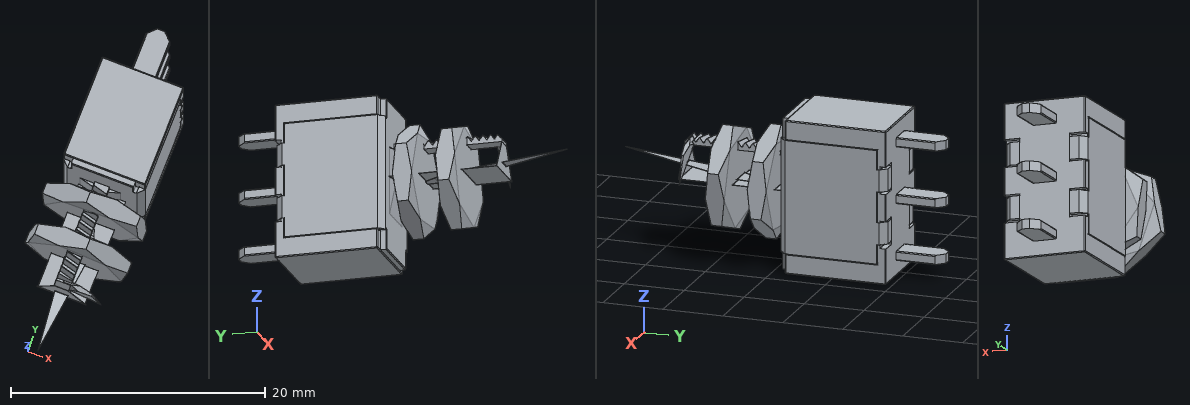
import cadquery as cq
import math


overall_length = 26.85

housing_width = 6.9
housing_height = 12.7
housing_rear = 8.95
edge_break = 0.08
side = housing_width / 2

sheet = 0.5
wing_height = 9.4
wing_rear = 8.17
plate_width = 5.26
plate_height = housing_height - 2 * edge_break
seam = 0.08
relief_radius = 0.13
relief_offset = 2.77
tab_low = 1.25
tab_high = 3.12
tab_reach = 1.35
tab_bend = 0.56
tab_clearance_inner = 0.13
tab_clearance_outer = 0.27

bushing_length = 8.86
leaf = 0.03
floor_width = 3.98
end_plate_width = 4.14
bar_width = 1.24
bar_bottom = 2.47
bar_top = 3.15
thread_depth = 0.4
thread_crest = 0.05
thread_slant = 14.5
first_groove = 0.75
last_slanted_groove = 7.75
groove_count = 12
thread_pitch = (last_slanted_groove - first_groove) / (groove_count - 1)
straight_groove = 8.22
bar_end_chamfer = 0.43

run_in_depth = 0.45
run_in_left = -1.88
run_in_right = 1.55
run_in_tip = -3.05
run_out_middle = 8.4
run_out_half = 0.4
run_out_waist = 0.2
run_out_crest = 3.04
run_out_tip_x = 3.17
run_out_tip_z = -0.1
run_out_shoulder_x = 2.42
run_out_shoulder_z = 2.12

lever_root = 2.47
lever_tip = 14.0
lever_wide = 4.65
lever_root_width = 0.7
lever_width = 2.05
lever_tip_height = 1.53
lever_root_height = -0.13

nut_radius = 4.62
nut_bevel_depth = 0.35
nut_thickness = 1.58
nut_faces = (0.85, 4.38)
nut_angles = (36.5, 19.8)
half_side_angle = 30
apothem_ratio = math.cos(math.radians(half_side_angle))

terminal_width = 2.05
terminal_thickness = 0.78
terminal_pitch = 4.7
terminal_tip = overall_length - lever_tip
terminal_tip_chamfer = 0.7


def block(x_low, x_high, y_low, y_high, z_low, z_high):
    """A box given by its limits along each axis."""
    size = (x_high - x_low, y_high - y_low, z_high - z_low)
    return cq.Workplane("XY").box(*size, centered=False).translate((x_low, y_low, z_low))


def mirrored(shape, plane):
    """A shape together with its mirror image."""
    return shape.union(shape.mirror(plane))


def make_tab_recesses():
    """Pockets at the rear corners of the housing that take the folded frame tabs."""
    recess = block(
        side - tab_reach, side, housing_rear - sheet, housing_rear,
        tab_low - tab_clearance_inner, tab_high + tab_clearance_outer,
    )
    passage = block(side - sheet, side, wing_rear, housing_rear, tab_low, tab_high)
    return mirrored(mirrored(recess.union(passage), "XY"), "YZ")


def make_housing():
    """Block with a side pocket for each frame wing and recesses for the tabs."""
    body = block(-side, side, sheet, housing_rear, -housing_height / 2, housing_height / 2)
    body = body.edges().chamfer(edge_break)
    pocket_half = wing_height / 2 + seam
    pocket = block(side - sheet, side, 0, wing_rear + seam, -pocket_half, pocket_half)
    return body.cut(mirrored(pocket, "YZ")).cut(make_tab_recesses())


def make_frame():
    """Front plate with bent side wings, whose rear tabs fold over the housing."""
    wing_half = wing_height / 2
    shell = block(-side, side, 0, wing_rear, -wing_half, wing_half)
    shell = shell.faces("<Y").edges("|Z").chamfer(sheet)
    shell = shell.cut(block(sheet - side, side - sheet, sheet, wing_rear, -wing_half, wing_half))
    plate = block(-plate_width / 2, plate_width / 2, 0, sheet, -plate_height / 2, plate_height / 2)
    plate = plate.faces("<Y").edges().chamfer(edge_break)
    relief_points = [(x, z) for x in (-relief_offset, relief_offset) for z in (-wing_half, wing_half)]
    reliefs = cq.Workplane("XZ").pushPoints(relief_points).circle(relief_radius).extrude(-sheet)

    tab = (
        cq.Workplane("XY", origin=(0, 0, tab_low))
        .moveTo(side - sheet, wing_rear)
        .lineTo(side, wing_rear)
        .lineTo(side, housing_rear - tab_bend)
        .lineTo(side - sheet, housing_rear)
        .lineTo(side - tab_reach, housing_rear)
        .lineTo(side - tab_reach, housing_rear - sheet)
        .lineTo(side - sheet, housing_rear - sheet)
        .close()
        .extrude(tab_high - tab_low)
    )
    tabs = mirrored(mirrored(tab, "XY"), "YZ")
    return shell.union(plate).cut(reliefs).union(tabs)


def make_threaded_bar():
    """Key bar with slanted V grooves across its top and a straight one at the end."""
    bar = block(-bar_width / 2, bar_width / 2, -bushing_length, 0, bar_bottom, bar_top)
    bar = bar.faces("<Y").edges(">Z").chamfer(bar_end_chamfer)
    half = (thread_pitch - thread_crest) / 2
    groove = (
        cq.Workplane("YZ")
        .polyline([(-half, bar_top), (half, bar_top), (0, bar_top - thread_depth)])
        .close()
        .extrude(bar_width, both=True)
    )
    slanted_groove = groove.rotate((0, 0, 0), (0, 0, 1), -thread_slant)
    for index in range(groove_count):
        bar = bar.cut(slanted_groove.translate((0, -first_groove - index * thread_pitch, 0)))
    return bar.cut(groove.translate((0, -straight_groove, 0)))


def make_run_in_fin():
    """Shallow pyramid on the frame where the thread begins."""
    profile = [(0, bar_bottom), (-run_in_depth, bar_bottom), (0, run_in_tip)]
    plan = [(run_in_left, 0), (0, -run_in_depth), (run_in_right, 0)]
    wedge = cq.Workplane("YZ").polyline(profile).close().extrude(housing_width, both=True)
    prism = cq.Workplane("XY").polyline(plan).close().extrude(housing_height, both=True)
    return wedge.intersect(prism)


def make_run_out_fin():
    """Pointed fin beside the bar where the thread ends."""
    front = [
        (0, run_out_crest),
        (bar_width / 2, run_out_crest),
        (run_out_shoulder_x, run_out_shoulder_z),
        (run_out_tip_x, run_out_tip_z),
        (bar_width / 2, bar_bottom),
        (0, bar_bottom),
    ]
    valley = bar_top - thread_depth
    profile = [
        (0, run_out_crest),
        (run_out_waist, valley),
        (run_out_half, bar_bottom),
        (0, run_out_tip_z),
        (-run_out_half, bar_bottom),
        (-run_out_waist, valley),
    ]
    plan = [(0, -run_out_half), (run_out_tip_x, 0), (0, run_out_half)]
    fin = cq.Workplane("XZ").polyline(front).close().extrude(run_out_half, both=True)
    fin = fin.intersect(cq.Workplane("YZ").polyline(profile).close().extrude(run_out_tip_x))
    fin = fin.intersect(cq.Workplane("XY").polyline(plan).close().extrude(bar_top, both=True))
    return fin.translate((0, -run_out_middle, 0))


def make_bushing():
    """Key bar, floor, end plate and thread fins."""
    floor = block(-floor_width / 2, floor_width / 2, -bushing_length, 0, -leaf / 2, leaf / 2)
    end_plate = (
        cq.Workplane("XZ", origin=(0, leaf - bushing_length, 0))
        .moveTo(-end_plate_width / 2, -leaf / 2)
        .lineTo(end_plate_width / 2, -leaf / 2)
        .lineTo(bar_width / 2, bar_bottom + leaf)
        .lineTo(-bar_width / 2, bar_bottom + leaf)
        .close()
        .extrude(leaf)
    )
    bushing = make_threaded_bar().union(floor).union(end_plate)
    return bushing.union(make_run_in_fin()).union(make_run_out_fin())


def make_lever():
    """Thin blade, kite-shaped from above, sloping up to a point."""
    plan = [
        (-lever_root_width / 2, -lever_root),
        (-lever_width / 2, -lever_wide),
        (0, -lever_tip),
        (lever_width / 2, -lever_wide),
        (lever_root_width / 2, -lever_root),
    ]
    slope = [
        (-lever_root, lever_root_height),
        (-lever_tip, lever_tip_height),
        (-lever_tip, lever_tip_height - leaf),
        (-lever_root, lever_root_height - leaf),
    ]
    outline = cq.Workplane("XY").polyline(plan).close().extrude(housing_height, both=True)
    blade = cq.Workplane("YZ").polyline(slope).close().extrude(lever_width, both=True)
    return outline.intersect(blade)


def make_nut(near_face, angle):
    """Hexagon nut with each face bevelled down to a smaller hexagon turned by half a side."""
    half = nut_thickness / 2
    face_radius = nut_radius * apothem_ratio
    face_apothem = face_radius * apothem_ratio
    bevel_growth = (nut_radius - face_apothem) / nut_bevel_depth
    middle_radius = face_radius + half * bevel_growth / apothem_ratio
    bevel = (
        cq.Workplane("XY")
        .polygon(6, 2 * middle_radius)
        .workplane(offset=half)
        .polygon(6, 2 * face_radius)
        .loft(ruled=True)
        .rotate((0, 0, 0), (0, 0, 1), half_side_angle)
    )
    nut = cq.Workplane("XY").polygon(6, 2 * nut_radius).extrude(half, both=True)
    nut = nut.intersect(mirrored(bevel, "XY"))
    nut = nut.rotate((0, 0, 0), (0, 0, 1), angle).rotate((0, 0, 0), (1, 0, 0), 90)
    return nut.translate((0, -near_face - half, 0))


def make_terminal(height):
    """Flat solder lug with a chamfered tip."""
    lug = block(
        -terminal_width / 2, terminal_width / 2, housing_rear, terminal_tip,
        height - terminal_thickness / 2, height + terminal_thickness / 2,
    )
    lug = lug.edges("|Y").chamfer(edge_break)
    plan = block(
        -terminal_width / 2, terminal_width / 2, housing_rear, terminal_tip,
        -housing_height, housing_height,
    )
    return lug.intersect(plan.faces(">Y").edges("|Z").chamfer(terminal_tip_chamfer))


housing = make_housing()
lever = make_lever()
bushing = make_bushing().cut(lever)
frame_with_bushing = make_frame().union(bushing)
nuts = [make_nut(face, angle).cut(bushing).cut(lever) for face, angle in zip(nut_faces, nut_angles)]
terminals = [make_terminal(index * terminal_pitch) for index in (-1, 0, 1)]

parts = [housing, frame_with_bushing, lever, *nuts, *terminals]
result = cq.Compound.makeCompound([part.solids().val() for part in parts])